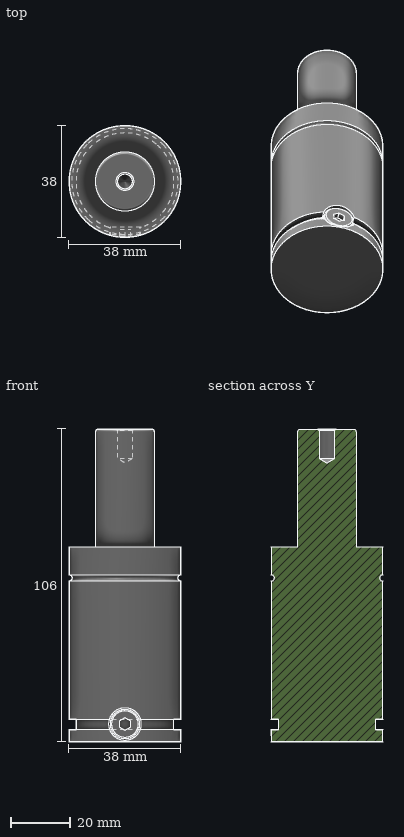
import cadquery as cq
import math

TOTAL_HEIGHT = 106.0
BODY_RADIUS = 38.0 / 2
BODY_HEIGHT = 66.0

RING_GROOVE_RADIUS = 1.01
RING_GROOVE_Z = 55.5

MOUNT_GROOVE_BOTTOM = 4.1
MOUNT_GROOVE_TOP = 7.6
MOUNT_GROOVE_DEPTH = 2.4

ROD_RADIUS = 20.0 / 2
ROD_EDGE_ROUND = 1.0
ROD_HOLE_RADIUS = 5.0 / 2
ROD_HOLE_DEPTH = 10.0
ROD_HOLE_CHAMFER = 0.5
DRILL_TIP_ANGLE = 118.0

PLUG_Z = 6.0
PLUG_BORE_RADIUS = 11.0 / 2
PLUG_RADIUS = 10.0 / 2
PLUG_CHAMFER = 0.48
PLUG_FACE_DISTANCE = 18.4
PLUG_BORE_FLOOR_DISTANCE = 15.5
HEX_ACROSS_FLATS = 3.7
HEX_DEPTH = 2.1


def make_body():
    """Round body with its two turned grooves."""
    groove_floor = BODY_RADIUS - MOUNT_GROOVE_DEPTH
    profile = (
        cq.Workplane("XZ")
        .lineTo(BODY_RADIUS, 0)
        .lineTo(BODY_RADIUS, MOUNT_GROOVE_BOTTOM)
        .lineTo(groove_floor, MOUNT_GROOVE_BOTTOM)
        .lineTo(groove_floor, MOUNT_GROOVE_TOP)
        .lineTo(BODY_RADIUS, MOUNT_GROOVE_TOP)
        .lineTo(BODY_RADIUS, RING_GROOVE_Z - RING_GROOVE_RADIUS)
        .threePointArc(
            (BODY_RADIUS - RING_GROOVE_RADIUS, RING_GROOVE_Z),
            (BODY_RADIUS, RING_GROOVE_Z + RING_GROOVE_RADIUS),
        )
        .lineTo(BODY_RADIUS, BODY_HEIGHT)
        .lineTo(0, BODY_HEIGHT)
        .close()
    )
    return profile.revolve(360, (0, 0, 0), (0, 1, 0))


def make_rod():
    """Piston rod with a rounded end edge."""
    rod = cq.Workplane("XY").circle(ROD_RADIUS).extrude(TOTAL_HEIGHT)
    return rod.faces(">Z").edges().fillet(ROD_EDGE_ROUND)


def make_rod_hole():
    """Blind hole with a chamfered mouth and a conical drill tip."""
    mouth_radius = ROD_HOLE_RADIUS + ROD_HOLE_CHAMFER
    hole_bottom = TOTAL_HEIGHT - ROD_HOLE_DEPTH
    tip_height = ROD_HOLE_RADIUS / math.tan(math.radians(DRILL_TIP_ANGLE / 2))
    profile = (
        cq.Workplane("XZ")
        .moveTo(0, TOTAL_HEIGHT)
        .lineTo(mouth_radius, TOTAL_HEIGHT)
        .lineTo(ROD_HOLE_RADIUS, TOTAL_HEIGHT - ROD_HOLE_CHAMFER)
        .lineTo(ROD_HOLE_RADIUS, hole_bottom)
        .lineTo(0, hole_bottom - tip_height)
        .close()
    )
    return profile.revolve(360, (0, 0, 0), (0, 1, 0))


def plug_plane(distance):
    """Plane across the plug axis, at a distance from the body axis, facing -Y."""
    return cq.Workplane("XZ", origin=(0, -distance, PLUG_Z))


def make_plug():
    """Chamfered round plug with a hexagon socket, corners up and down."""
    plug_length = PLUG_FACE_DISTANCE - PLUG_BORE_FLOOR_DISTANCE
    plug = plug_plane(PLUG_BORE_FLOOR_DISTANCE).circle(PLUG_RADIUS).extrude(plug_length)
    plug = plug.faces("<Y").edges().chamfer(PLUG_CHAMFER)
    across_corners = HEX_ACROSS_FLATS / math.cos(math.radians(30))
    socket = (
        plug_plane(PLUG_FACE_DISTANCE)
        .transformed(rotate=(0, 0, 90))
        .polygon(6, across_corners)
        .extrude(-HEX_DEPTH)
    )
    return plug.cut(socket)


plug_bore = plug_plane(PLUG_BORE_FLOOR_DISTANCE).circle(PLUG_BORE_RADIUS).extrude(BODY_RADIUS)

result = make_body().union(make_rod()).cut(make_rod_hole())
result = result.cut(plug_bore).union(make_plug())